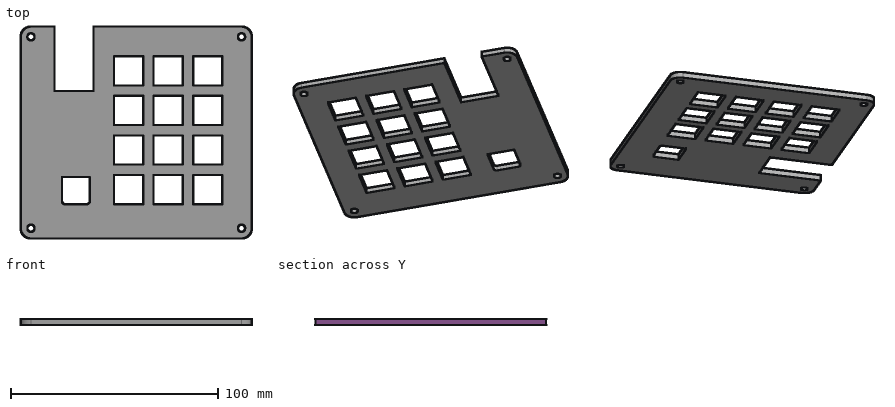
import cadquery as cq

plate_x = 111.6
plate_y = 102.4
thickness = 3.0
corner_radius = 5.0

screw_diameter = 3.3
screw_spacing_x = plate_x - 2 * corner_radius
screw_spacing_y = plate_y - 2 * corner_radius

key_columns = 3
key_rows = 4
key_pitch = 19.1
key_size = 14.0
key_grid_x = 15.4
key_grid_y = 1.1

slot_width = 18.6
slot_depth = 31.0
slot_x = -30.0

opening_x = -29.1
opening_y = -28.0
opening_width = 13.3
opening_length = 13.0
opening_radius = 1.3


def make_plate():
    return (
        cq.Workplane("XY")
        .box(plate_x, plate_y, thickness)
        .edges("|Z")
        .fillet(corner_radius)
    )


def through_box(width, length, x, y):
    """Rectangular cutter centred at (x, y), passing through the plate."""
    return cq.Workplane("XY").box(width, length, 2 * thickness).translate((x, y, 0))


def cut_screw_holes(plate):
    return (
        plate.faces(">Z")
        .workplane()
        .rect(screw_spacing_x, screw_spacing_y, forConstruction=True)
        .vertices()
        .hole(screw_diameter)
    )


def cut_key_openings(plate):
    return (
        plate.faces(">Z")
        .workplane()
        .center(key_grid_x, key_grid_y)
        .rarray(key_pitch, key_pitch, key_columns, key_rows)
        .rect(key_size, key_size)
        .cutThruAll()
    )


def cut_back_slot(plate):
    return plate.cut(through_box(slot_width, 2 * slot_depth, slot_x, plate_y / 2))


def cut_single_opening(plate):
    cutter = through_box(opening_width, opening_length, opening_x, opening_y)
    return plate.cut(cutter.edges("|Z and <Y").fillet(opening_radius))


result = make_plate()
result = cut_screw_holes(result)
result = cut_key_openings(result)
result = cut_back_slot(result)
result = cut_single_opening(result)